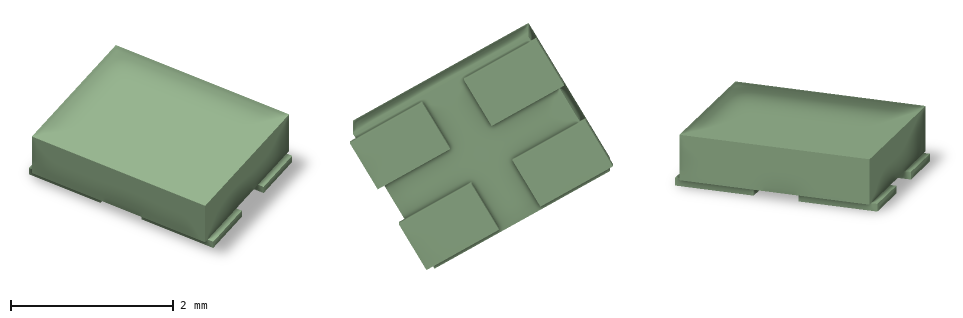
import cadquery as cq

overall_length = 2.66
overall_height = 0.7

pad_length = 1.035
pad_width = 0.68
pad_thickness = 0.1
pad_pitch_y = 1.2
pad_pitch_x = overall_length - pad_length

housing_length = 2.5
housing_width = 2.0
housing_height = overall_height - pad_thickness


def make_block(length, width, height, x, y, z):
    """Box centred on (x, y) with its underside at z."""
    return cq.Workplane("XY").box(length, width, height, centered=(True, True, False)).translate((x, y, z))


def make_housing():
    """Plain rectangular package body."""
    return make_block(housing_length, housing_width, housing_height, 0, 0, pad_thickness)


def make_pad(x, y):
    """Flat terminal under one corner of the housing, projecting past its end."""
    return make_block(pad_length, pad_width, pad_thickness, x, y, 0)


housing = make_housing()

pads = []
for side_x in (-1, 1):
    for side_y in (-1, 1):
        pad = make_pad(side_x * pad_pitch_x / 2, side_y * pad_pitch_y / 2)
        pads.append(pad.val())

result = cq.Compound.makeCompound([housing.val(), *pads])